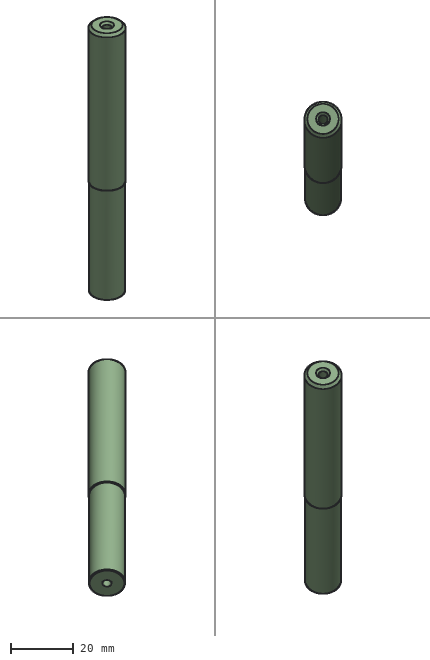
import cadquery as cq

length = 100.0
upper_diameter = 12.0
top_chamfer = 1.0

lower_length = 41.2
lower_diameter = 11.7
bottom_chamfer = 0.3
shoulder_chamfer = 0.3

bore_diameter = 2.9
countersink_diameter = 4.5
countersink_depth = (countersink_diameter - bore_diameter) / 2


def make_lower_section():
    section = cq.Workplane("XY").circle(lower_diameter / 2).extrude(lower_length)
    return section.faces("<Z").chamfer(bottom_chamfer)


def make_upper_section():
    section = (
        cq.Workplane("XY")
        .workplane(offset=lower_length)
        .circle(upper_diameter / 2)
        .extrude(length - lower_length)
    )
    section = section.faces(">Z").chamfer(top_chamfer)
    return section.faces("<Z").chamfer(shoulder_chamfer)


def make_bore():
    bore = cq.Workplane("XY").circle(bore_diameter / 2).extrude(length)
    countersink = (
        cq.Workplane("XY")
        .workplane(offset=length)
        .circle(countersink_diameter / 2)
        .workplane(offset=-countersink_depth)
        .circle(bore_diameter / 2)
        .loft()
    )
    return bore.union(countersink)


result = make_lower_section().union(make_upper_section()).cut(make_bore())